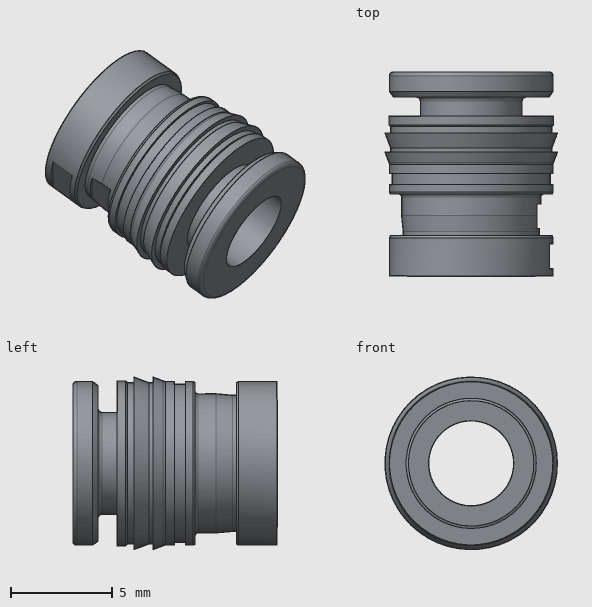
import cadquery as cq

LENGTH = 10.13
BORE_RADIUS = 2.1

RAISED_RING_HEIGHT = 0.04
RAISED_RING_RADIUS = 3.22
RAISED_RING_BEVEL = 0.12
COLLAR_RADIUS = 4.05
COLLAR_BACK = 2.05
COLLAR_BEVEL_LENGTH = 0.12
COLLAR_BEVEL_DEPTH = 0.06

NECK_FRONT_RADIUS = 3.37
NECK_BACK_RADIUS = 3.44
NECK_TAPER_START = 2.23
NECK_TAPER_CHANGE = 3.04
NECK_BACK = 4.08
FLARE = 0.14

LAND_RADIUS = COLLAR_RADIUS
LAND_BEVEL_LENGTH = 0.11
LAND_BEVEL_DEPTH = 0.04
GROOVE_RADIUS = 3.92
GROOVE_FRONT = 4.56
GROOVE_BACK = 5.11
LAND_BACK = 5.54

BARB_ROOT_RADIUS = 3.99
BARB_TIP_DIAMETER = 8.54
BARB_TIP_RADIUS = BARB_TIP_DIAMETER / 2
SMALL_BARB_BASE_RADIUS = 4.08
SMALL_BARB_FRONT = 5.66
SMALL_BARB_RELIEF_RADIUS = 4.03
SMALL_BARB_BACK = 6.16
LARGE_BARB_FRONT = 6.36
LARGE_BARB_BACK = 7.11
RING_RADIUS = 4.08
RING_BEVEL_START = 7.43
RING_BEVEL_END = 7.52
RING_BACK = 7.94

REAR_NECK_RADIUS = 2.52
HEAD_FRONT = 8.88
REAR_FLARE = 0.2
HEAD_RADIUS = COLLAR_RADIUS
HEAD_FRONT_BEVEL_LENGTH = 0.28
HEAD_FRONT_BEVEL_DEPTH = 0.2
HEAD_BACK_ROUND = 0.19

COLLAR_FLAT = (3.88, 0.41, 1.63)
NECK_FLAT = (3.26, 2.39, 3.59)


def turned_body():
    """Revolve the half section, including the bore, about the Y axis."""
    profile = (
        cq.Workplane("XY")
        .moveTo(BORE_RADIUS, 0)
        .lineTo(RAISED_RING_RADIUS - RAISED_RING_BEVEL, 0)
        .lineTo(RAISED_RING_RADIUS, RAISED_RING_HEIGHT)
        .lineTo(COLLAR_RADIUS, RAISED_RING_HEIGHT)
        .lineTo(COLLAR_RADIUS, COLLAR_BACK - COLLAR_BEVEL_LENGTH)
        .lineTo(COLLAR_RADIUS - COLLAR_BEVEL_DEPTH, COLLAR_BACK)
        .lineTo(NECK_FRONT_RADIUS, COLLAR_BACK)
        .lineTo(NECK_FRONT_RADIUS, NECK_TAPER_START)
        .lineTo(NECK_BACK_RADIUS, NECK_TAPER_CHANGE)
        .lineTo(NECK_BACK_RADIUS, NECK_BACK - FLARE)
        .radiusArc((NECK_BACK_RADIUS + FLARE, NECK_BACK), FLARE)
        .lineTo(LAND_RADIUS - LAND_BEVEL_DEPTH, NECK_BACK)
        .lineTo(LAND_RADIUS, NECK_BACK + LAND_BEVEL_LENGTH)
        .lineTo(LAND_RADIUS, GROOVE_FRONT)
        .lineTo(GROOVE_RADIUS, GROOVE_FRONT)
        .lineTo(GROOVE_RADIUS, GROOVE_BACK)
        .lineTo(LAND_RADIUS, GROOVE_BACK)
        .lineTo(LAND_RADIUS, LAND_BACK)
        .lineTo(SMALL_BARB_RELIEF_RADIUS, LAND_BACK)
        .lineTo(SMALL_BARB_BASE_RADIUS, SMALL_BARB_FRONT)
        .lineTo(BARB_TIP_RADIUS, SMALL_BARB_BACK)
        .lineTo(BARB_ROOT_RADIUS, SMALL_BARB_BACK)
        .lineTo(BARB_ROOT_RADIUS, LARGE_BARB_FRONT)
        .lineTo(BARB_TIP_RADIUS, LARGE_BARB_BACK)
        .lineTo(BARB_ROOT_RADIUS, LARGE_BARB_BACK)
        .lineTo(BARB_ROOT_RADIUS, RING_BEVEL_START)
        .lineTo(RING_RADIUS, RING_BEVEL_END)
        .lineTo(RING_RADIUS, RING_BACK)
        .lineTo(REAR_NECK_RADIUS, RING_BACK)
        .lineTo(REAR_NECK_RADIUS, HEAD_FRONT - REAR_FLARE)
        .radiusArc((REAR_NECK_RADIUS + REAR_FLARE, HEAD_FRONT), REAR_FLARE)
        .lineTo(HEAD_RADIUS - HEAD_FRONT_BEVEL_DEPTH, HEAD_FRONT)
        .lineTo(HEAD_RADIUS, HEAD_FRONT + HEAD_FRONT_BEVEL_LENGTH)
        .lineTo(HEAD_RADIUS, LENGTH - HEAD_BACK_ROUND)
        .radiusArc((HEAD_RADIUS - HEAD_BACK_ROUND, LENGTH), -HEAD_BACK_ROUND)
        .lineTo(BORE_RADIUS, LENGTH)
        .close()
    )
    return profile.revolve(360, (0, 0, 0), (0, 1, 0))


def flat_cutter(plane_x, front, back):
    """Block that removes everything beyond plane_x between front and back."""
    depth = BARB_TIP_RADIUS - plane_x
    height = 2 * BARB_TIP_RADIUS
    block = cq.Workplane("XY").box(depth, back - front, height, centered=(False, False, True))
    return block.translate((plane_x, front, 0))


result = turned_body()
for flat in (COLLAR_FLAT, NECK_FLAT):
    result = result.cut(flat_cutter(*flat))